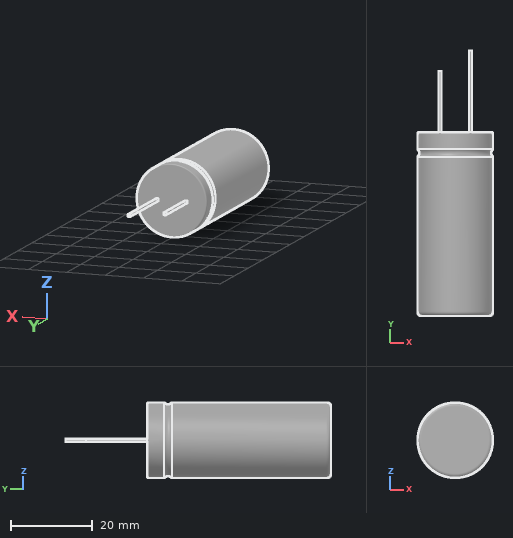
import cadquery as cq

can_diameter = 18.5
can_length = 45.0
lead_end_fillet = 0.4
closed_end_fillet = 1.0

groove_centre = 5.1
groove_width = 1.9
groove_depth = 0.4

lead_diameter = 0.8
lead_pitch = 7.5
short_lead_length = 15.0
long_lead_length = 20.0

can_radius = can_diameter / 2
lead_overlap = 1.0


def make_can():
    """Revolve the half profile of the can, then round both end edges."""
    groove_start = -groove_centre + groove_width / 2
    groove_end = -groove_centre - groove_width / 2
    can = (
        cq.Workplane("XY")
        .lineTo(can_radius, 0)
        .lineTo(can_radius, groove_start)
        .threePointArc((can_radius - groove_depth, -groove_centre), (can_radius, groove_end))
        .lineTo(can_radius, -can_length)
        .lineTo(0, -can_length)
        .close()
        .revolve(360, (0, 0, 0), (0, 1, 0))
    )
    can = can.faces(">Y").edges().fillet(lead_end_fillet)
    return can.faces("<Y").edges().fillet(closed_end_fillet)


def make_lead(x, length):
    """Wire standing out of the lead end by the given length, at the given X."""
    start = cq.Vector(x, -lead_overlap, 0)
    along_y = cq.Vector(0, 1, 0)
    return cq.Workplane(cq.Solid.makeCylinder(lead_diameter / 2, length + lead_overlap, start, along_y))


result = (
    make_can()
    .union(make_lead(-lead_pitch / 2, short_lead_length))
    .union(make_lead(lead_pitch / 2, long_lead_length))
)